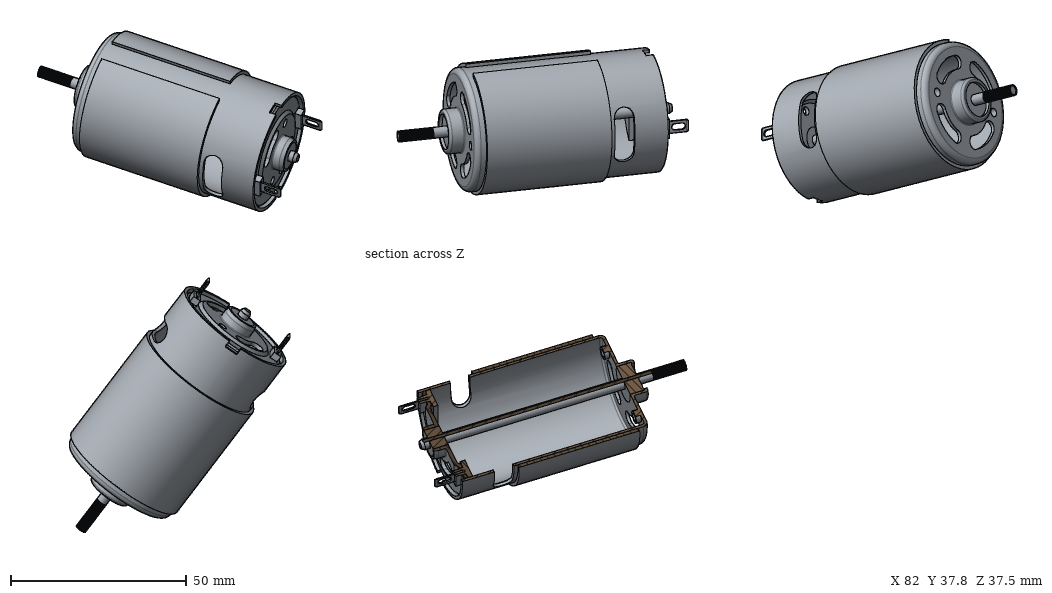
import cadquery as cq
import math


can_diameter = 35.8
wall = 1.0
can_inner_diameter = can_diameter - 2 * wall
can_front = 17.9
can_rear = 75.0
can_corner_radius = 1.6
hub_diameter = 13.0
hub_front = 13.45
hub_corner_radius = 0.7
hub_root_radius = 0.25
hub_opening_diameter = 10.2

vent_inner_radius = 9.8
vent_outer_radius = 13.8
vent_start_angle = 25.0
vent_end_angle = 70.5
screw_hole_diameter = 2.5
screw_hole_offset = 12.5
screw_boss_diameter = 3.8
screw_boss_height = 1.5
window_start = 59.2
window_width = 5.9
window_length = 16.7
notch_width = 3.9
notch_depth = 2.05

ring_diameter = 37.8
ring_start = 21.1
ring_end = 58.0
ring_gap = 7.2

shaft_diameter = 3.2
shaft_end = 80.95
shaft_rear_chamfer_length = 1.0
shaft_rear_chamfer_depth = 0.5
spline_length = 10.1
spline_root_diameter = 2.6
spline_teeth = 40

front_bearing_diameter = hub_diameter - 2 * wall
front_bearing_rear = can_front + wall
rear_bearing_diameter = 8.0

cap_thickness = 1.2
cap_dish_depth = 0.9
cap_dish_rim_radius = 11.8
cap_dish_floor_radius = 10.9
cap_rim_chamfer = 0.6
cap_hub_diameter = 10.1
cap_hub_end = 78.5
cap_hub_root_radius = 0.25
cap_hub_taper_length = 1.2
cap_hub_taper_depth = 0.3
cap_vent_inner_radius = 7.0
cap_vent_start_angle = 28.0
cap_vent_end_angle = 75.0
cap_hole_diameter = 2.5
cap_hole_radius = 8.9
cap_hole_angle = 61.0

cap_floor = can_rear - cap_thickness
cap_flange_rear = can_rear - cap_dish_depth
cap_flange_front = cap_flange_rear - cap_thickness

insulator_face_offset = 10.6
insulator_thickness = 1.5

terminal_offset = 14.2
terminal_thickness = 0.5
terminal_width = 3.7
terminal_end = 82.0
terminal_bevel_length = 0.7
terminal_bevel_depth = 0.2
terminal_corner = 0.4
terminal_slot_start = 77.0
terminal_slot_end = 81.0
terminal_slot_width = 2.0
pad_end = 76.0
pad_width = 2.4
pad_height = 5.8


def rod(diameter, start, end):
    """Cylinder around the shaft axis between two X positions."""
    return cq.Workplane("YZ").workplane(offset=start).circle(diameter / 2).extrude(end - start)


def polar(radius, angle):
    """Point (Y, Z) at an angle in degrees from the Y axis."""
    return (radius * math.cos(math.radians(angle)), radius * math.sin(math.radians(angle)))


def arc_slot(inner_radius, outer_radius, start_angle, end_angle, start, end):
    """Curved slot with round ends, cut along X."""
    middle = (inner_radius + outer_radius) / 2
    half_turn = math.degrees((outer_radius - inner_radius) / 2 / middle)
    middle_angle = (start_angle + end_angle) / 2
    return (
        cq.Workplane("YZ")
        .workplane(offset=start)
        .moveTo(*polar(inner_radius, start_angle))
        .threePointArc(polar(inner_radius, middle_angle), polar(inner_radius, end_angle))
        .threePointArc(polar(middle, end_angle + half_turn), polar(outer_radius, end_angle))
        .threePointArc(polar(outer_radius, middle_angle), polar(outer_radius, start_angle))
        .threePointArc(polar(middle, start_angle - half_turn), polar(inner_radius, start_angle))
        .close()
        .extrude(end - start)
    )


def turn(shape, angle):
    return shape.rotate((0, 0, 0), (1, 0, 0), angle)


def make_can():
    shell = rod(can_diameter, can_front, can_rear).faces("<X").edges().fillet(can_corner_radius)
    hub = rod(hub_diameter, hub_front, can_front + wall).faces("<X").edges().fillet(hub_corner_radius)
    can = shell.union(hub)
    root = cq.selectors.BoxSelector(
        (can_front - 0.1, -hub_diameter, -hub_diameter), (can_front + 0.1, hub_diameter, hub_diameter)
    )
    can = can.edges(root).edges("%CIRCLE").edges(cq.selectors.RadiusNthSelector(0)).fillet(hub_root_radius)
    can = can.cut(rod(can_inner_diameter, can_front + wall, can_rear).faces("<X").edges()
                  .fillet(can_corner_radius - wall))
    can = can.cut(rod(front_bearing_diameter, hub_front + wall, can_front + wall))
    can = can.cut(rod(hub_opening_diameter, hub_front, hub_front + wall))
    vent = arc_slot(vent_inner_radius, vent_outer_radius, vent_start_angle, vent_end_angle,
                    can_front, can_front + wall)
    for base in (vent, vent.mirror("XZ")):
        can = can.cut(base).cut(turn(base, 180))
    for side in (-1, 1):
        hole = rod(screw_hole_diameter, can_front, can_front + wall + screw_boss_height)
        boss = rod(screw_boss_diameter, can_front + wall, can_front + wall + screw_boss_height)
        place = (0, side * screw_hole_offset, 0)
        can = can.union(boss.translate(place)).cut(hole.translate(place))
    window = (
        cq.Workplane("XZ")
        .center(window_start + window_width / 2, 0)
        .slot2D(window_length, window_width, 90)
        .extrude(can_diameter / 2, both=True)
    )
    notch = cq.Workplane("XY").box(2 * notch_depth, notch_width, can_diameter).translate((can_rear, 0, 0))
    return can.cut(window).cut(notch)


def make_flux_ring():
    ring = rod(ring_diameter, ring_start, ring_end).cut(rod(can_diameter, ring_start, ring_end))
    gap = (
        cq.Workplane("XY")
        .center((ring_start + ring_end) / 2, 0)
        .rect(ring_end - ring_start, ring_gap)
        .extrude(ring_diameter / 2)
    )
    return ring.cut(gap)


def make_shaft():
    plain = (
        cq.Workplane("XY")
        .moveTo(spline_length, 0)
        .lineTo(spline_length, shaft_diameter / 2)
        .lineTo(shaft_end - shaft_rear_chamfer_length, shaft_diameter / 2)
        .lineTo(shaft_end, shaft_diameter / 2 - shaft_rear_chamfer_depth)
        .lineTo(shaft_end, 0)
        .close()
        .revolve(360, (0, 0, 0), (1, 0, 0))
    )
    points = []
    for tooth in range(spline_teeth):
        angle = 360 * tooth / spline_teeth
        points.append(polar(shaft_diameter / 2, angle))
        points.append(polar(spline_root_diameter / 2, angle + 180 / spline_teeth))
    spline = cq.Workplane("YZ").polyline(points).close().extrude(spline_length)
    return plain.union(spline)


def make_front_bearing():
    bearing = rod(front_bearing_diameter, hub_front + wall, front_bearing_rear)
    return bearing.cut(rod(shaft_diameter, hub_front, front_bearing_rear))


def make_rear_bearing():
    bearing = rod(rear_bearing_diameter, cap_floor, cap_hub_end)
    return bearing.cut(rod(shaft_diameter, cap_floor, cap_hub_end))


def make_end_cap():
    bore = rear_bearing_diameter / 2
    hub = cap_hub_diameter / 2
    root = cap_hub_root_radius
    rim = can_inner_diameter / 2
    slant = math.atan2(cap_dish_rim_radius - cap_dish_floor_radius, cap_dish_depth)
    offset = cap_thickness * math.tan(math.pi / 4 - slant / 2)
    cap = (
        cq.Workplane("XY")
        .moveTo(cap_flange_front, rim)
        .lineTo(cap_flange_front, cap_dish_rim_radius)
        .lineTo(cap_floor, cap_dish_floor_radius)
        .lineTo(cap_floor, bore)
        .lineTo(cap_hub_end, bore)
        .lineTo(cap_hub_end, hub - cap_hub_taper_depth)
        .lineTo(cap_hub_end - cap_hub_taper_length, hub)
        .lineTo(can_rear + root, hub)
        .radiusArc((can_rear, hub + root), root)
        .lineTo(can_rear, cap_dish_floor_radius + offset)
        .lineTo(cap_flange_rear, cap_dish_rim_radius + offset)
        .lineTo(cap_flange_rear, rim - cap_rim_chamfer)
        .lineTo(cap_flange_rear - cap_rim_chamfer, rim)
        .close()
        .revolve(360, (0, 0, 0), (1, 0, 0))
    )
    vent = arc_slot(cap_vent_inner_radius, cap_dish_floor_radius, cap_vent_start_angle,
                    cap_vent_end_angle, cap_flange_front, can_rear).mirror("XZ")
    hole = rod(cap_hole_diameter, cap_floor, can_rear)
    hole = hole.translate((0, *polar(cap_hole_radius, cap_hole_angle)))
    for angle in (0, 180):
        cap = cap.cut(turn(vent, angle)).cut(turn(hole, angle))
    for side in (-1, 1):
        cap = cap.cut(make_pad(side))
    return cap


def slab(start, end, width, height, y):
    """Block between two X positions, centred on Z = 0."""
    return cq.Workplane("YZ").workplane(offset=start).center(y, 0).rect(width, height).extrude(end - start)


def make_pad(side):
    """Block that carries a terminal through the end cap."""
    return slab(cap_flange_front, pad_end, pad_width, pad_height, side * terminal_offset)


def make_insulator(side):
    """Segment of the can's bore lying on the end cap, with its pad and the slit for the terminal."""
    front = cap_flange_front - insulator_thickness
    radius = can_inner_diameter / 2
    half = slab(front, cap_flange_front, radius, 2 * radius, side * (insulator_face_offset + radius / 2))
    segment = rod(can_inner_diameter, front, cap_flange_front).intersect(half)
    slit = slab(cap_flange_front, pad_end, terminal_thickness, terminal_width, side * terminal_offset)
    return segment.union(make_pad(side)).cut(slit)


def make_terminal(side):
    """Flat tab with a slot, clipped corners and a bevelled tip."""
    bevel_start = terminal_end - terminal_bevel_length
    half = terminal_thickness / 2
    profile = (
        cq.Workplane("XY")
        .polyline([
            (cap_flange_front, -half),
            (bevel_start, -half),
            (terminal_end, -half + terminal_bevel_depth),
            (terminal_end, half - terminal_bevel_depth),
            (bevel_start, half),
            (cap_flange_front, half),
        ])
        .close()
        .extrude(terminal_width / 2, both=True)
    )
    outline = (
        cq.Workplane("XZ")
        .center((cap_flange_front + terminal_end) / 2, 0)
        .rect(terminal_end - cap_flange_front, terminal_width)
        .extrude(terminal_thickness, both=True)
        .edges("|Y and >X")
        .chamfer(terminal_corner)
    )
    slot = (
        cq.Workplane("XZ")
        .center((terminal_slot_start + terminal_slot_end) / 2, 0)
        .slot2D(terminal_slot_end - terminal_slot_start, terminal_slot_width)
        .extrude(terminal_thickness, both=True)
    )
    return profile.intersect(outline).cut(slot).translate((0, side * terminal_offset, 0))


can = make_can()
flux_ring = make_flux_ring()
shaft = make_shaft()
front_bearing = make_front_bearing()
rear_bearing = make_rear_bearing()
end_cap = make_end_cap()
insulators = [make_insulator(side) for side in (-1, 1)]
terminals = [make_terminal(side) for side in (-1, 1)]

result = cq.Compound.makeCompound([
    can.val(),
    flux_ring.val(),
    shaft.val(),
    front_bearing.val(),
    rear_bearing.val(),
    end_cap.val(),
    *[insulator.val() for insulator in insulators],
    *[terminal.val() for terminal in terminals],
])